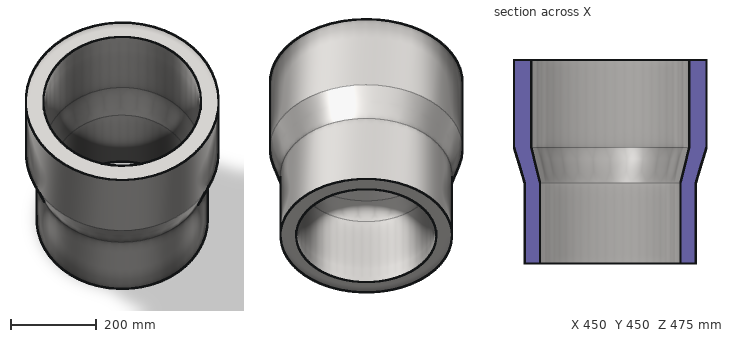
import cadquery as cq

total_height = 475.0
large_outer_diameter = 450.0
large_bore_diameter = 367.5
small_outer_diameter = 400.0
small_bore_diameter = 327.0

small_end_length = 188.0
large_end_length = 204.2
cone_top = total_height - large_end_length


def reducer_body(large_diameter, small_diameter):
    """Solid of revolution: small cylinder, cone, then large cylinder."""
    large_radius = large_diameter / 2
    small_radius = small_diameter / 2
    return (
        cq.Workplane("XZ")
        .moveTo(0, 0)
        .lineTo(small_radius, 0)
        .lineTo(small_radius, small_end_length)
        .lineTo(large_radius, cone_top)
        .lineTo(large_radius, total_height)
        .lineTo(0, total_height)
        .close()
        .revolve(360, (0, 0, 0), (0, 1, 0))
    )


outside = reducer_body(large_outer_diameter, small_outer_diameter)
bore = reducer_body(large_bore_diameter, small_bore_diameter)
result = outside.cut(bore)